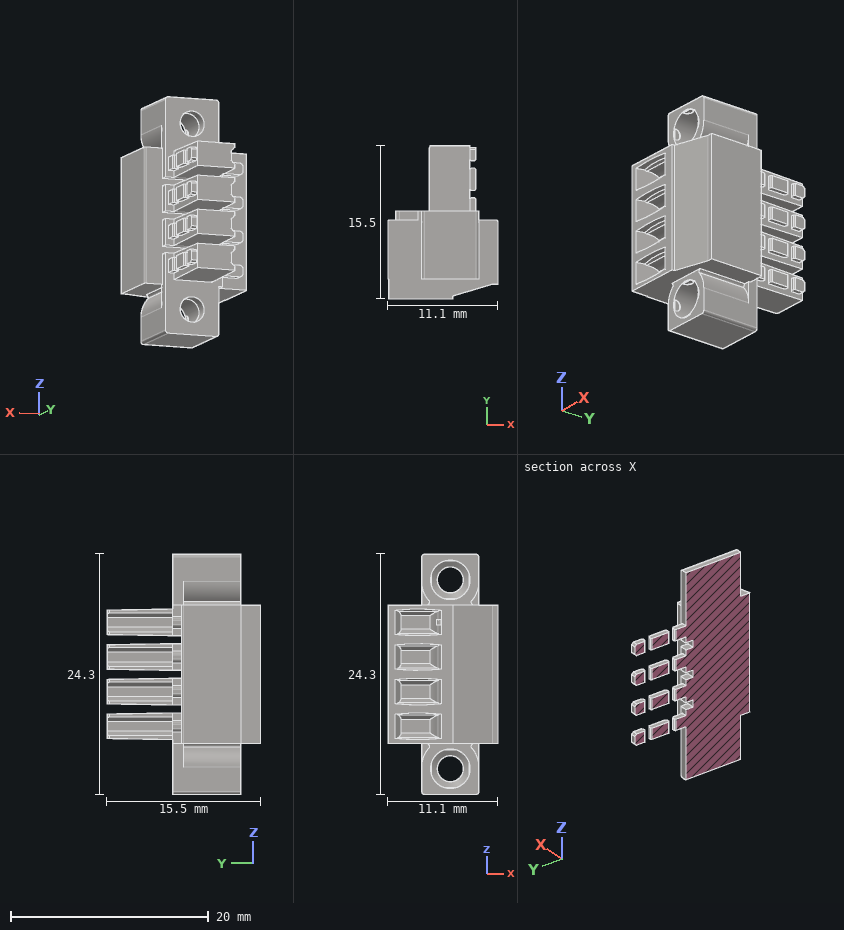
import cadquery as cq
import math


pole_count = 4
pole_pitch = 3.5
housing_height = pole_count * pole_pitch
housing_left = -6.32
housing_right = 4.82
housing_depth = 8.0
lead_in_step = 0.08
ramp_start_x = 0.27
ramp_end_x = 4.24
ramp_start_y = 0.3
ramp_end_y = 1.48
housing_edge_radius = 0.2

total_height = 24.3
flange_width = 5.78
flange_front = 2.0
flange_back = 8.9
flange_corner_radius = 0.3
screw_z = 9.54
bore_diameter = 4.0
screw_hole_diameter = 2.6
bore_end = 7.0
seat_depth = 0.45
bore_pip_diameter = 1.2
bore_pip_y = 2.2
bore_pip_reach = 1.9
bore_pip_setback = 0.1
neck_centre_z = 9.36
neck_back = 7.8
neck_waist_z = 7.36
neck_foot_half_width = 2.28
neck_foot_bow = 0.05

funnel_left = -5.57
funnel_right = -0.91
funnel_depth = 2.5
funnel_break_y = 1.15
funnel_break_right = -1.24
funnel_floor_left = -4.96
funnel_floor_right = -2.06
funnel_mouth_half_height = 1.8
funnel_break_half_height = 1.12
funnel_floor_half_height = 0.68
taper_bulge = 0.1
mouth_side_half_height = 1.215
mouth_middle_half_height = 1.345
peg_diameter = 0.76
peg_height = 0.55
peg_x = -1.03
peg_y = 0.78

sleeve_left = -2.13
sleeve_right = 1.98
sleeve_tip = 15.5
sleeve_base_height = 2.72
sleeve_tip_height = 2.5
channel_depth = 0.46
channel_mouth_half_height = 0.95
channel_floor_half_height = 0.49
lip_chamfer_length = 0.23
lip_chamfer_depth = 0.08
rib_right = 2.585
rib_height = 1.36
rib_end_bevel = 0.15
rib_tip = sleeve_tip - 0.18
rib_tip_chamfer = 0.23
rib_spans = ((housing_depth, 10.25), (10.95, 13.25), (13.95, rib_tip))

pad_left = -3.28
pad_right = flange_width / 2
boss_left = -5.52
boss_height = 1.2
boss_edge_radius = 0.4

half_height = housing_height / 2
end_pad_start = half_height - (pole_pitch - sleeve_base_height) / 2
pole_centres = [(i - (pole_count - 1) / 2) * pole_pitch for i in range(pole_count)]


def box(x_range, y_range, z_range):
    """Box spanning the given (low, high) ranges."""
    size = [high - low for low, high in (x_range, y_range, z_range)]
    corner = (x_range[0], y_range[0], z_range[0])
    return cq.Workplane("XY").box(*size, centered=False).translate(corner)


def extrude_along_y(draw_outline, y_low, y_high):
    """Extrude an X-Z outline from y_low to y_high."""
    plane = cq.Workplane("XZ", origin=(0, y_low, 0))
    return draw_outline(plane).extrude(y_low - y_high)


def make_housing():
    """Housing with a stepped front and a ramp on its right side."""
    outline = [
        (housing_left + lead_in_step, 0),
        (ramp_start_x, 0),
        (ramp_start_x, ramp_start_y),
        (ramp_end_x, ramp_end_y),
        (housing_right, ramp_end_y),
        (housing_right, housing_depth),
        (housing_left, housing_depth),
        (housing_left, flange_front),
        (housing_left + lead_in_step, flange_front),
    ]
    housing = cq.Workplane("XY").polyline(outline).close().extrude(housing_height)
    housing = housing.edges("|Z and >Y").fillet(housing_edge_radius)
    return housing.translate((0, 0, -half_height))


def make_flange():
    """Upper flange: a full back plate and a front part necked in above the housing."""
    half_width = flange_width / 2
    top = total_height / 2
    neck_radius = half_width
    waist_angle = math.asin((neck_centre_z - neck_waist_z) / neck_radius)
    waist_half_width = neck_radius * math.cos(waist_angle)
    flank_x = neck_radius * math.cos(waist_angle / 2)
    flank_z = neck_centre_z - neck_radius * math.sin(waist_angle / 2)
    foot_mid = (waist_half_width + neck_foot_bow, (neck_waist_z + half_height) / 2)

    def necked_outline(plane):
        return (
            plane.moveTo(-half_width, top)
            .lineTo(-half_width, neck_centre_z)
            .threePointArc((-flank_x, flank_z), (-waist_half_width, neck_waist_z))
            .threePointArc((-foot_mid[0], foot_mid[1]), (-neck_foot_half_width, half_height))
            .lineTo(neck_foot_half_width, half_height)
            .threePointArc(foot_mid, (waist_half_width, neck_waist_z))
            .threePointArc((flank_x, flank_z), (half_width, neck_centre_z))
            .lineTo(half_width, top)
            .close()
        )

    plate = box((-half_width, half_width), (neck_back, flange_back), (end_pad_start, top))
    flange = plate.union(extrude_along_y(necked_outline, flange_front, neck_back))
    flange = flange.edges("|Y and >Z").fillet(flange_corner_radius)
    return flange.cut(make_screw_bore())


def make_screw_bore():
    """Wide bore from the front, a conical seat and a through hole, with four pips at the mouth."""
    bore_radius = bore_diameter / 2
    hole_radius = screw_hole_diameter / 2
    seat_end = bore_end + seat_depth
    half_section = [
        (0, flange_front),
        (bore_radius, flange_front),
        (bore_radius, bore_end),
        (hole_radius, seat_end),
        (hole_radius, flange_back),
        (0, flange_back),
    ]
    bore = cq.Workplane("XY").polyline(half_section).close().revolve(360, (0, 0), (0, 1))
    for turn in range(4):
        pip = cq.Workplane("XY", origin=(0, bore_pip_y, bore_pip_reach)).circle(bore_pip_diameter / 2)
        pip = pip.extrude(bore_radius - bore_pip_reach)
        bore = bore.cut(pip.rotate((0, 0, 0), (0, 1, 0), 90 * turn))
    mouth = cq.Workplane("XZ", origin=(0, flange_front, 0)).circle(bore_radius).extrude(-bore_pip_setback)
    return bore.union(mouth).translate((0, 0, screw_z))


def make_funnel():
    """Wire entry cavity at Z = 0: a barrel-shaped mouth that tapers to a flat floor."""
    bend_mid_x = funnel_right - (funnel_right - funnel_break_right) / 4
    taper_mid_y = (funnel_break_y + funnel_depth) / 2 + taper_bulge
    taper_mid_x = (funnel_break_right + funnel_floor_right) / 2 + taper_bulge
    taper_mid_z = (funnel_break_half_height + funnel_floor_half_height) / 2 + taper_bulge
    plan = (
        cq.Workplane("XY")
        .moveTo(funnel_left, 0)
        .lineTo(funnel_floor_left, funnel_depth)
        .lineTo(funnel_floor_right, funnel_depth)
        .threePointArc((taper_mid_x, taper_mid_y), (funnel_break_right, funnel_break_y))
        .threePointArc((bend_mid_x, funnel_break_y / 2), (funnel_right, 0))
        .close()
        .extrude(funnel_mouth_half_height, both=True)
    )
    side = (
        cq.Workplane("YZ", origin=(funnel_left, 0, 0))
        .moveTo(0, funnel_mouth_half_height)
        .lineTo(funnel_break_y, funnel_break_half_height)
        .threePointArc((taper_mid_y, taper_mid_z), (funnel_depth, funnel_floor_half_height))
        .lineTo(funnel_depth, -funnel_floor_half_height)
        .threePointArc((taper_mid_y, -taper_mid_z), (funnel_break_y, -funnel_break_half_height))
        .lineTo(0, -funnel_mouth_half_height)
        .close()
        .extrude(funnel_right - funnel_left)
    )
    middle_x = (funnel_left + funnel_right) / 2

    def barrel_outline(plane):
        return (
            plane.moveTo(funnel_left, -mouth_side_half_height)
            .threePointArc((middle_x, -mouth_middle_half_height), (funnel_right, -mouth_side_half_height))
            .lineTo(funnel_right, mouth_side_half_height)
            .threePointArc((middle_x, mouth_middle_half_height), (funnel_left, mouth_side_half_height))
            .close()
        )

    return plan.intersect(side).intersect(extrude_along_y(barrel_outline, 0, funnel_depth))


def make_sleeve():
    """Contact sleeve at Z = 0: tapered, with a slope-sided channel on its left side."""
    base_half = sleeve_base_height / 2
    tip_half = sleeve_tip_height / 2
    taper = [
        (housing_depth, -base_half),
        (flange_back, -base_half),
        (sleeve_tip, -tip_half),
        (sleeve_tip, tip_half),
        (flange_back, base_half),
        (housing_depth, base_half),
    ]
    sleeve = (
        cq.Workplane("YZ", origin=(sleeve_left, 0, 0))
        .polyline(taper)
        .close()
        .extrude(sleeve_right - sleeve_left)
    )
    bevel = [
        (sleeve_left, sleeve_tip - lip_chamfer_length),
        (sleeve_left, sleeve_tip),
        (sleeve_left + lip_chamfer_depth, sleeve_tip),
    ]
    sleeve = sleeve.cut(cq.Workplane("XY").polyline(bevel).close().extrude(base_half, both=True))

    def channel_outline(plane):
        channel_floor = sleeve_left + channel_depth
        return plane.polyline(
            [
                (sleeve_left, -channel_mouth_half_height),
                (channel_floor, -channel_floor_half_height),
                (channel_floor, channel_floor_half_height),
                (sleeve_left, channel_mouth_half_height),
            ]
        ).close()

    sleeve = sleeve.cut(extrude_along_y(channel_outline, flange_back, sleeve_tip))
    for low, high in rib_spans:
        sleeve = sleeve.union(make_rib(low, high))
    return sleeve


def make_rib(low, high):
    """Rib segment on the right side of a sleeve, bevelled where it faces a gap."""
    rib = box((sleeve_right, rib_right), (low, high), (-rib_height / 2, rib_height / 2))
    if low > housing_depth:
        rib = rib.edges("<Y and |Z").chamfer(rib_end_bevel)
    if high < rib_tip:
        return rib.edges(">Y and |Z").chamfer(rib_end_bevel)
    return rib.edges(">Y and |X").chamfer(rib_tip_chamfer)


def make_back_pad():
    """Raised pad behind one pole at Z = 0 with a rounded boss on its left."""
    pad_half = sleeve_base_height / 2
    pad = box((pad_left, pad_right), (housing_depth, flange_back), (-pad_half, pad_half))
    boss = box(
        (boss_left, pad_left),
        (housing_depth, flange_back),
        (-boss_height / 2, boss_height / 2),
    )
    return pad.union(boss.edges("|Y and <X").fillet(boss_edge_radius))


def make_end_pad():
    """Fill between the uppermost back pad and the upper end of the housing."""
    return box((pad_left, pad_right), (housing_depth, flange_back), (end_pad_start, half_height))


def make_peg():
    """Small peg on the right wall of the uppermost wire entry."""
    peg = cq.Workplane("XY").circle(peg_diameter / 2).extrude(peg_height)
    return peg.translate((peg_x, peg_y, pole_centres[-1] - peg_height / 2))


result = make_housing()
for end_feature in (make_flange(), make_end_pad()):
    result = result.union(end_feature).union(end_feature.mirror("XY"))
for centre in pole_centres:
    pole_position = (0, 0, centre)
    result = result.union(make_back_pad().translate(pole_position))
    result = result.union(make_sleeve().translate(pole_position))
    result = result.cut(make_funnel().translate(pole_position))
result = result.union(make_peg())